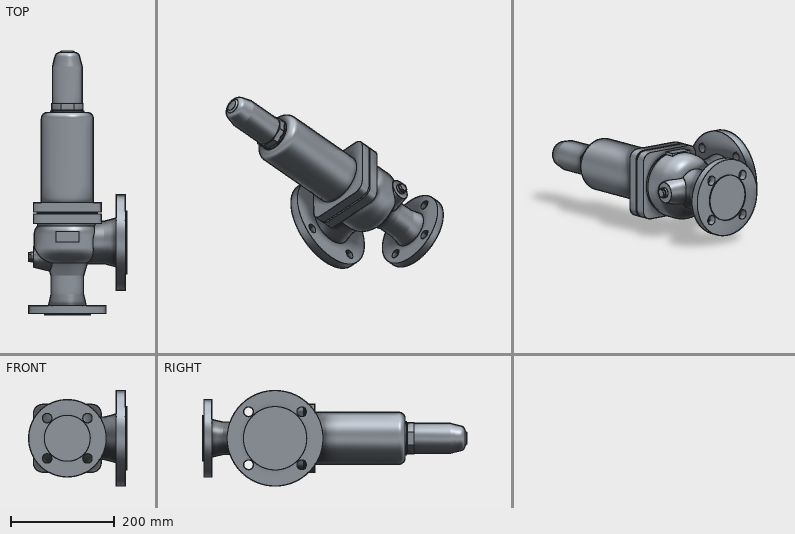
import cadquery as cq
import math


INLET_FLANGE_R = 75.0
INLET_FLANGE_BACK = 18.0
INLET_FACE_R = 44.5
INLET_FACE_HEIGHT = 2.0
INLET_HUB_R = 36.5
INLET_HUB_END = 39.5
INLET_NECK_R = 31.5
INLET_NECK_END = 75.5
INLET_BOLT_CIRCLE_R = 55.0

BOWL_BOTTOM_R = 39.5
BOWL_BOTTOM = 100.5
BOWL_R = 64.5
BOWL_SIDE_START = 133.0
BOWL_SIDE_END = 154.5
COLLAR_R = 58.0
COLLAR_START = 171.5

PLATE_SIDE = 131.5
PLATE_CORNER_R = 19.0
BODY_PLATE_START = 176.0
BODY_PLATE_END = 195.0
BONNET_PLATE_START = 198.5
BONNET_PLATE_END = 217.0
SEAT_R = 58.5
SEAT_HEIGHT = 1.5
GASKET_R = 56.0

BONNET_R = 50.5
BONNET_END = 391.5
BONNET_FILLET = 13.0
CAP_SEAT_R = 32.0
CAP_SEAT_HEIGHT = 2.0
CAP_NECK_R = 27.5
NUT_SIDES = 8
NUT_ACROSS_FLATS = 60.5
NUT_START = 396.0
NUT_END = 408.0
CAP_R = 29.0
CAP_SIDE_END = 479.0
CAP_SHOULDER_R = 24.0
CAP_SHOULDER = 499.0
CAP_CROWN_R = 15.0
CAP_CROWN = 507.0
CAP_TIP_R = 10.5
VALVE_LENGTH = 510.0

OUTLET_Y = 140.0
OUTLET_PIPE_R = 41.5
OUTLET_PIPE_END = 71.5
OUTLET_HUB_R = 47.5
OUTLET_FLANGE_DIAMETER = 185.0
OUTLET_FLANGE_START = 94.5
OUTLET_FACE_R = 61.0
OUTLET_FACE_HEIGHT = 3.0
OUTLET_END = 115.5
OUTLET_BOLT_CIRCLE_R = 72.5

BOLT_COUNT = 4
BOLT_HOLE_R = 9.0

DRAIN_Y = 111.5
DRAIN_BOSS_END = 65.5
DRAIN_BOSS_LENGTH = 51.0
DRAIN_BOSS_R = 20.0
DRAIN_BOSS_TAPER = 13.5
PLUG_COLLAR_R = 9.5
PLUG_COLLAR_END = 70.5
PLUG_HEAD_SIDES = 6
PLUG_HEAD_CORNER_R = 8.5
PLUG_END = INLET_FLANGE_R

PAD_LENGTH = 44.0
PAD_WIDTH = 20.5
PAD_X = 0.5
PAD_Y = 151.0
PAD_TOP = PLATE_SIDE / 2


def plane_across_y(y):
    """Plane facing +Y, with local x along +X and local y along -Z."""
    return cq.Plane(origin=(0, y, 0), xDir=(1, 0, 0), normal=(0, 1, 0))


def plane_across_x(x, y, facing):
    """Plane facing +X or -X, centred at height y on the main axis, with local x along Y."""
    return cq.Plane(origin=(x, y, 0), xDir=(0, 1, 0), normal=(facing, 0, 0))


def bolt_holes(plane, circle_r, depth):
    """Bolt hole cutters halfway between the local axes, running along the plane's normal."""
    return (
        cq.Workplane(plane)
        .polarArray(circle_r, 180 / BOLT_COUNT, 360, BOLT_COUNT)
        .circle(BOLT_HOLE_R)
        .extrude(depth)
    )


def make_body():
    """Inlet flange, neck and bowl, turned around the main axis."""
    profile = (
        cq.Workplane("XY")
        .moveTo(0, 0)
        .lineTo(INLET_FACE_R, 0)
        .lineTo(INLET_FACE_R, INLET_FACE_HEIGHT)
        .lineTo(INLET_FLANGE_R, INLET_FACE_HEIGHT)
        .lineTo(INLET_FLANGE_R, INLET_FLANGE_BACK)
        .lineTo(INLET_HUB_R, INLET_FLANGE_BACK)
        .lineTo(INLET_NECK_R, INLET_HUB_END)
        .lineTo(INLET_NECK_R, INLET_NECK_END)
        .lineTo(BOWL_BOTTOM_R, BOWL_BOTTOM)
    )
    lower_rise = BOWL_SIDE_START - BOWL_BOTTOM
    lower_run = BOWL_R - BOWL_BOTTOM_R
    lower_arc_r = (lower_rise**2 + lower_run**2) / (2 * lower_run)
    half_angle = math.asin(lower_rise / lower_arc_r) / 2
    lower_mid = (
        BOWL_R - lower_arc_r * (1 - math.cos(half_angle)),
        BOWL_SIDE_START - lower_arc_r * math.sin(half_angle),
    )
    return (
        profile.threePointArc(lower_mid, (BOWL_R, BOWL_SIDE_START))
        .lineTo(BOWL_R, BOWL_SIDE_END)
        .tangentArcPoint((COLLAR_R, COLLAR_START), relative=False)
        .lineTo(COLLAR_R, BODY_PLATE_START)
        .lineTo(0, BODY_PLATE_START)
        .close()
        .revolve(360, (0, 0, 0), (0, 1, 0))
    )


def make_plate(start, end):
    """Square plate with rounded corners."""
    return (
        cq.Workplane(plane_across_y(start))
        .rect(PLATE_SIDE, PLATE_SIDE)
        .extrude(end - start)
        .edges("|Y")
        .fillet(PLATE_CORNER_R)
    )


def make_joint():
    """Raised seat on the body plate and the narrower gasket that meets the bonnet plate."""
    gap = BONNET_PLATE_START - BODY_PLATE_END
    joint_start = plane_across_y(BODY_PLATE_END)
    seat = cq.Workplane(joint_start).circle(SEAT_R).extrude(SEAT_HEIGHT)
    gasket = cq.Workplane(joint_start).circle(GASKET_R).extrude(gap)
    return seat.union(gasket)


def make_bonnet():
    """Spring bonnet with a rounded far rim."""
    return (
        cq.Workplane(plane_across_y(BONNET_PLATE_END))
        .circle(BONNET_R)
        .extrude(BONNET_END - BONNET_PLATE_END)
        .faces(">Y")
        .edges()
        .fillet(BONNET_FILLET)
    )


def make_cap():
    """Cap with its seat and neck, turned around the main axis, and its octagonal nut."""
    seat_top = BONNET_END + CAP_SEAT_HEIGHT
    cap = (
        cq.Workplane("XY")
        .moveTo(0, BONNET_END)
        .lineTo(CAP_SEAT_R, BONNET_END)
        .lineTo(CAP_SEAT_R, seat_top)
        .lineTo(CAP_NECK_R, seat_top)
        .lineTo(CAP_NECK_R, NUT_END)
        .lineTo(CAP_R, NUT_END)
        .lineTo(CAP_R, CAP_SIDE_END)
        .lineTo(CAP_SHOULDER_R, CAP_SHOULDER)
        .tangentArcPoint((CAP_CROWN_R, CAP_CROWN), relative=False)
        .lineTo(CAP_TIP_R, VALVE_LENGTH)
        .lineTo(0, VALVE_LENGTH)
        .close()
        .revolve(360, (0, 0, 0), (0, 1, 0))
    )
    half_side_angle = 180 / NUT_SIDES
    corner_diameter = NUT_ACROSS_FLATS / math.cos(math.radians(half_side_angle))
    nut = (
        cq.Workplane(plane_across_y(NUT_START))
        .transformed(rotate=(0, 0, half_side_angle))
        .polygon(NUT_SIDES, corner_diameter)
        .extrude(NUT_END - NUT_START)
    )
    return cap.union(nut)


def make_outlet():
    """Outlet pipe, tapered hub and flange, turned around the branch axis."""
    face_start = OUTLET_END - OUTLET_FACE_HEIGHT
    return (
        cq.Workplane(cq.Plane(origin=(0, OUTLET_Y, 0)))
        .moveTo(0, 0)
        .lineTo(0, OUTLET_PIPE_R)
        .lineTo(OUTLET_PIPE_END, OUTLET_PIPE_R)
        .lineTo(OUTLET_FLANGE_START, OUTLET_HUB_R)
        .lineTo(OUTLET_FLANGE_START, OUTLET_FLANGE_DIAMETER / 2)
        .lineTo(face_start, OUTLET_FLANGE_DIAMETER / 2)
        .lineTo(face_start, OUTLET_FACE_R)
        .lineTo(OUTLET_END, OUTLET_FACE_R)
        .lineTo(OUTLET_END, 0)
        .close()
        .revolve(360, (0, 0, 0), (1, 0, 0))
    )


def make_drain():
    """Tapered boss that widens into the body, with a collared hexagon plug."""
    boss = (
        cq.Workplane(plane_across_x(-DRAIN_BOSS_END, DRAIN_Y, 1))
        .circle(DRAIN_BOSS_R)
        .extrude(DRAIN_BOSS_LENGTH, taper=-DRAIN_BOSS_TAPER)
    )
    collar = (
        cq.Workplane(plane_across_x(-DRAIN_BOSS_END, DRAIN_Y, -1))
        .circle(PLUG_COLLAR_R)
        .extrude(PLUG_COLLAR_END - DRAIN_BOSS_END)
    )
    head = (
        cq.Workplane(plane_across_x(-PLUG_COLLAR_END, DRAIN_Y, -1))
        .polygon(PLUG_HEAD_SIDES, 2 * PLUG_HEAD_CORNER_R)
        .extrude(PLUG_END - PLUG_COLLAR_END)
    )
    return boss.union(collar).union(head)


def make_pad():
    """Flat-topped rectangular pad rising from inside the bowl."""
    return (
        cq.Workplane("XY")
        .center(PAD_X, PAD_Y)
        .rect(PAD_LENGTH, PAD_WIDTH)
        .extrude(PAD_TOP)
    )


parts = [
    make_plate(BODY_PLATE_START, BODY_PLATE_END),
    make_joint(),
    make_plate(BONNET_PLATE_START, BONNET_PLATE_END),
    make_bonnet(),
    make_cap(),
    make_outlet(),
    make_drain(),
    make_pad(),
]
valve = make_body()
for part in parts:
    valve = valve.union(part)

inlet_holes = bolt_holes(plane_across_y(0), INLET_BOLT_CIRCLE_R, INLET_FLANGE_BACK)
outlet_holes = bolt_holes(
    plane_across_x(OUTLET_FLANGE_START, OUTLET_Y, 1),
    OUTLET_BOLT_CIRCLE_R,
    OUTLET_END - OUTLET_FLANGE_START,
)
result = valve.cut(inlet_holes).cut(outlet_holes)